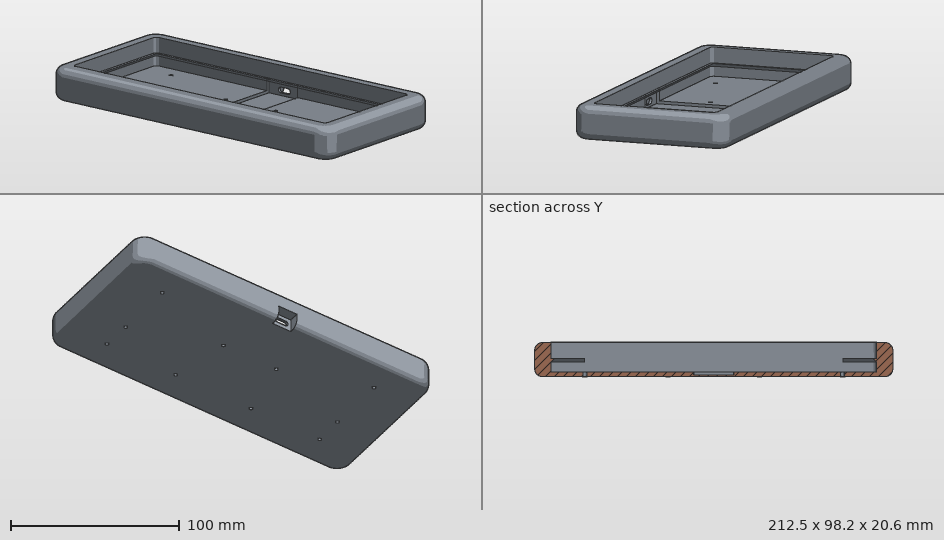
import cadquery as cq
key_pitch = 19.05
key_columns = 10
key_rows = 4
key_clearance = 1.0

wall = 10.0
case_height = 20.6
case_corner_radius = 10.0
case_edge_radius = 5.0
floor_thickness = 3.0

opening_length = key_columns * key_pitch + 2 * key_clearance
opening_width = key_rows * key_pitch + 2 * key_clearance
opening_corner_radius = 2.5
lip_top_z = 11.0
lip_reach = 2.0
lip_gap_length = 153.0

case_length = opening_length + 2 * wall
case_width = opening_width + 2 * wall

screw_diameter = 2.2
outer_column = 4 * key_pitch
centre_column = key_pitch
outer_row = 1.5 * key_pitch
inner_row = 0.5 * key_pitch
front_outer_x = 76.6
front_inner_x = 27.1
screw_places = [
    (outer_column, outer_row),
    (outer_column, -inner_row),
    (centre_column, inner_row),
    (front_outer_x, -outer_row),
    (front_inner_x, -outer_row),
]

pocket_length = 23.5
pocket_front_y = -13.0
pocket_depth = 1.8
pocket_undercut = 2.0

slot_length = 9.0
slot_height = 3.6
slot_centre_z = 4.6
slot_wall = 1.6
recess_length = 13.0
recess_top_z = 9.0


def rounded_block(length, width, bottom, top, radius):
    """Upright block centred on the Z axis with rounded vertical edges."""
    block = cq.Workplane("XY").workplane(offset=bottom).rect(length, width).extrude(top - bottom)
    return block.edges("|Z").fillet(radius)


def make_shell():
    shell = rounded_block(case_length, case_width, 0, case_height, case_corner_radius)
    return shell.faces("<Z or >Z").edges().fillet(case_edge_radius)


def make_key_opening():
    return rounded_block(opening_length, opening_width, floor_thickness, case_height, opening_corner_radius)


def make_lip():
    """Frame with a flat top and a 45 degree underside, left out along the middle of the front wall."""
    bottom_z = lip_top_z - lip_reach
    frame = rounded_block(opening_length, opening_width, bottom_z, lip_top_z, opening_corner_radius)
    window = (
        cq.Workplane("XY")
        .workplane(offset=bottom_z)
        .placeSketch(cq.Sketch().rect(opening_length, opening_width).vertices().fillet(opening_corner_radius))
        .extrude(lip_reach, taper=45)
    )
    front_gap = cq.Workplane("XY").box(
        lip_gap_length, opening_width / 2, lip_reach, centered=(True, False, False)
    )
    return frame.cut(window).cut(front_gap.translate((0, -opening_width / 2, bottom_z)))


def make_controller_pocket():
    back_y = opening_width / 2 + pocket_undercut
    bottom_z = floor_thickness - pocket_depth
    pocket = cq.Workplane("XY").box(
        pocket_length, back_y - pocket_front_y, lip_top_z - bottom_z, centered=(True, False, False)
    )
    return pocket.translate((0, pocket_front_y, bottom_z))


def make_connector_cutout():
    """Slot with round ends through the thin wall, then a plug recess open at the back and below."""
    wall_y = opening_width / 2 + pocket_undercut
    recess_y = wall_y + slot_wall
    slot = cq.Workplane("XZ", origin=(0, wall_y, slot_centre_z)).slot2D(slot_length, slot_height)
    recess = cq.Workplane("XY").box(
        recess_length, case_width / 2 - recess_y, recess_top_z, centered=(True, False, False)
    )
    return slot.extrude(-slot_wall).union(recess.translate((0, recess_y, 0)))


def make_screw_holes():
    places = [(side * x, y) for x, y in screw_places for side in (-1, 1)]
    return cq.Workplane("XY").pushPoints(places).circle(screw_diameter / 2).extrude(floor_thickness)


result = (
    make_shell()
    .cut(make_key_opening())
    .cut(make_controller_pocket())
    .union(make_lip())
    .cut(make_connector_cutout())
    .cut(make_screw_holes())
)